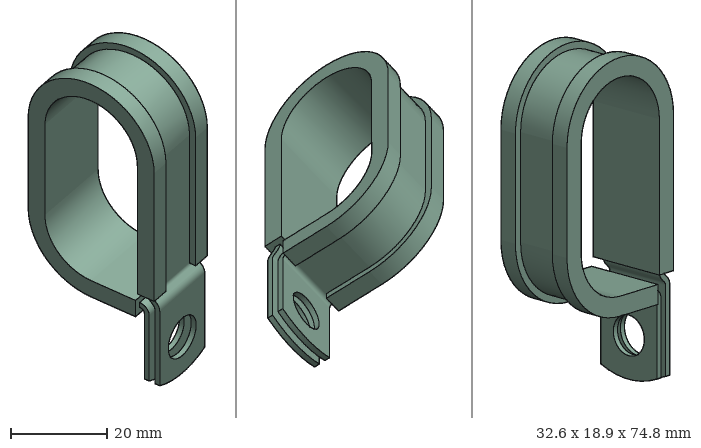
import cadquery as cq
import math

total_height = 74.8
loop_radius = 16.15
arc_spacing = 23.95
cushion_width = 18.9
cushion_thickness = 4.35
groove_width = 10.55
groove_depth = 1.6
cushion_gap_height = 6.3
cushion_foot_reach = 11.4

strap_width = 16.0
strap_thickness = 1.3
bend_radius = 1.7
inner_tab_face = 13.85
outer_tab_face = 16.5
joggle_angle = math.radians(45)

inner_hole_diameter = 8.8
outer_hole_diameter = 9.9
hole_height = 9.6
tip_bulge = 1.7

tip_z = arc_spacing + loop_radius - total_height
strap_radius = loop_radius - groove_depth - strap_thickness / 2
cushion_end_z = cushion_gap_height - loop_radius
inner_tab_x = inner_tab_face - strap_thickness / 2
outer_tab_x = outer_tab_face - strap_thickness / 2


def add_loop(path, foot_x):
    """Continue a centreline up the right side, around the loop and out to foot_x."""
    diagonal = strap_radius * math.sqrt(0.5)
    return (
        path.lineTo(strap_radius, arc_spacing)
        .threePointArc((0, arc_spacing + strap_radius), (-strap_radius, arc_spacing))
        .lineTo(-strap_radius, 0)
        .threePointArc((-diagonal, -diagonal), (0, -strap_radius))
        .lineTo(foot_x, -strap_radius)
    )


def strap_path():
    """Centreline from the outer tab tip, around the loop, to the inner tab tip."""
    bend_shift = bend_radius * (1 - math.cos(joggle_angle))
    bend_rise = bend_radius * math.sin(joggle_angle)
    half_bend_shift = bend_radius * (1 - math.cos(joggle_angle / 2))
    half_bend_rise = bend_radius * math.sin(joggle_angle / 2)
    slope_shift = outer_tab_x - strap_radius - 2 * bend_shift
    joggle_bottom_z = cushion_end_z - 2 * bend_rise - slope_shift / math.tan(joggle_angle)

    path = (
        cq.Workplane("XZ")
        .moveTo(outer_tab_x, tip_z)
        .lineTo(outer_tab_x, joggle_bottom_z)
        .threePointArc(
            (outer_tab_x - half_bend_shift, joggle_bottom_z + half_bend_rise),
            (outer_tab_x - bend_shift, joggle_bottom_z + bend_rise),
        )
        .lineTo(strap_radius + bend_shift, cushion_end_z - bend_rise)
        .threePointArc(
            (strap_radius + half_bend_shift, cushion_end_z - half_bend_rise),
            (strap_radius, cushion_end_z),
        )
    )
    bend_x = inner_tab_x - bend_radius
    bend_z = -strap_radius - bend_radius
    bend_diagonal = bend_radius * math.sqrt(0.5)
    return (
        add_loop(path, bend_x)
        .threePointArc((bend_x + bend_diagonal, bend_z + bend_diagonal), (inner_tab_x, bend_z))
        .lineTo(inner_tab_x, tip_z)
    )


def tab_hole(tab_x, diameter):
    """Cylinder along X that pierces only the tab centred at tab_x."""
    return (
        cq.Workplane("YZ", origin=(tab_x, 0, tip_z + hole_height))
        .circle(diameter / 2)
        .extrude(strap_thickness, both=True)
    )


def make_strap():
    strap = (
        cq.Workplane("XY", origin=(outer_tab_x, 0, tip_z))
        .rect(strap_thickness, strap_width)
        .sweep(strap_path())
    )
    half_width = strap_width / 2
    top_z = arc_spacing + loop_radius
    outline = (
        cq.Workplane("YZ")
        .moveTo(-half_width, top_z)
        .lineTo(-half_width, tip_z + tip_bulge)
        .threePointArc((0, tip_z), (half_width, tip_z + tip_bulge))
        .lineTo(half_width, top_z)
        .close()
        .extrude(outer_tab_face + loop_radius, both=True)
    )
    inner_hole = tab_hole(inner_tab_x, inner_hole_diameter)
    outer_hole = tab_hole(outer_tab_x, outer_hole_diameter)
    return strap.intersect(outline).cut(inner_hole).cut(outer_hole)


def make_cushion():
    path = add_loop(cq.Workplane("XZ").moveTo(strap_radius, cushion_end_z), cushion_foot_reach)
    inner_x = loop_radius - cushion_thickness
    floor_x = loop_radius - groove_depth
    half_width = cushion_width / 2
    half_groove = groove_width / 2
    section = cq.Workplane("XY", origin=(0, 0, cushion_end_z)).polyline([
        (inner_x, -half_width),
        (loop_radius, -half_width),
        (loop_radius, -half_groove),
        (floor_x, -half_groove),
        (floor_x, half_groove),
        (loop_radius, half_groove),
        (loop_radius, half_width),
        (inner_x, half_width),
    ])
    return section.close().sweep(path)


result = make_cushion().union(make_strap())